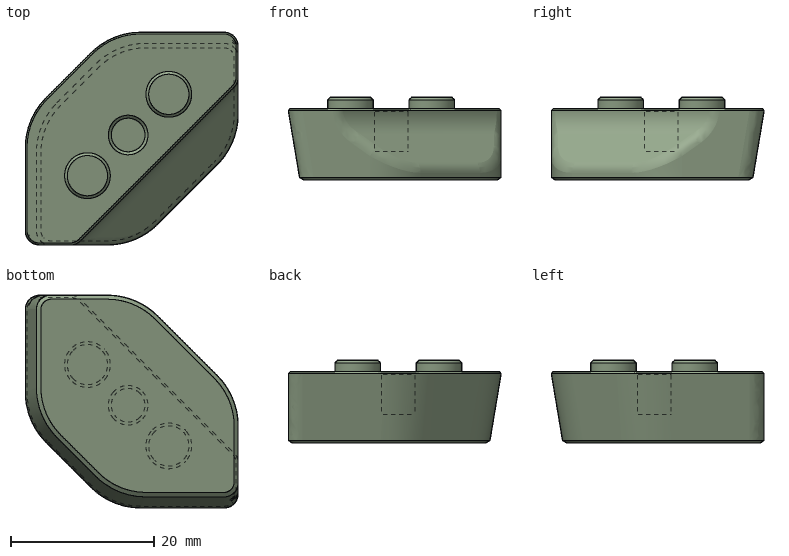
import cadquery as cq
import math

width = 29.78
total_height = 11.6
body_height = 10.0

drafted_diagonal = 17.7
upright_diagonal = 15.6
draft_slope = math.tan(math.radians(9.5))
large_corner_radius = 10.0
small_corner_radius = 2.0
top_chamfer = 0.3
bottom_chamfer_height = 0.4
bottom_chamfer_width = 0.57

recess_wall = 7.12
recess_arc_radius = 4.62
ramp_start_height = 6.45
rim_radius = 2.0
diagonal_factor = math.sqrt(0.5)
arc_center_height = ramp_start_height + recess_arc_radius * diagonal_factor
arc_width = recess_arc_radius * (1 - diagonal_factor)
ramp_width = (upright_diagonal - recess_wall) * diagonal_factor - arc_width
rim_height = ramp_start_height - ramp_width

center_x = 14.38
center_y = 15.4
stud_offset = 5.7
stud_diameter = 6.4
stud_chamfer = 0.4
hole_diameter = 4.7
hole_chamfer = 0.42
hole_depth = 6.0


def outline_points(inset):
    """Hexagon whose left, back and back-left sides are moved inward by inset."""
    slide = inset * math.tan(math.radians(22.5))
    return [
        (inset, 0),
        (upright_diagonal, 0),
        (width, width - upright_diagonal),
        (width, width - inset),
        (width - drafted_diagonal + slide, width - inset),
        (inset, drafted_diagonal - slide),
    ]


def make_drafted_block():
    """Block widest at the lower edge of the top chamfer, with rounded corners."""
    widest_height = body_height - top_chamfer
    bottom = outline_points(widest_height * draft_slope)
    top = outline_points(-top_chamfer * draft_slope)
    block = (
        cq.Workplane("XY")
        .polyline(bottom).close()
        .workplane(offset=body_height)
        .polyline(top).close()
        .loft(ruled=True, combine=True)
    )
    sharp_corners = [0, 3]
    middle = outline_points((widest_height - body_height / 2) * draft_slope)
    for index, (x, y) in enumerate(middle):
        radius = small_corner_radius if index in sharp_corners else large_corner_radius
        corner = cq.selectors.NearestToPointSelector((x, y, body_height / 2))
        block = block.edges(corner).fillet(radius)
    return block


def make_recess_cutter():
    """Prism along the diagonal; its profile runs outward from the arc's vertical tangent."""
    mid_angle = math.radians(22.5)
    arc_middle = (
        recess_arc_radius * (1 - math.cos(mid_angle)),
        arc_center_height - recess_arc_radius * math.sin(mid_angle),
    )
    profile_plane = cq.Plane(
        origin=(recess_wall, 0, 0), xDir=(1, -1, 0), normal=(-1, -1, 0)
    )
    return (
        cq.Workplane(profile_plane)
        .moveTo(0, total_height)
        .lineTo(0, arc_center_height)
        .threePointArc(arc_middle, (arc_width, ramp_start_height))
        .lineTo(arc_width + ramp_start_height, 0)
        .lineTo(arc_width + ramp_start_height, total_height)
        .close()
        .extrude(2 * width, both=True)
    )


def round_recess_rim(body):
    """Round the whole smooth rim, which runs on from its straight middle stretch."""
    rim_x = (width + upright_diagonal) / 2
    middle = cq.selectors.NearestToPointSelector((rim_x, width - rim_x, rim_height))
    return body.edges(middle).fillet(rim_radius)


def chamfer_body(body):
    """Bevel the top outline, including the recess edge, and the bottom outline."""
    body = body.faces(">Z").edges().chamfer(top_chamfer)
    return body.faces("<Z").edges().chamfer(bottom_chamfer_width, bottom_chamfer_height)


def make_studs():
    """Two studs with bevelled top edges."""
    return (
        cq.Workplane("XY", origin=(center_x, center_y, body_height))
        .pushPoints([(-stud_offset, -stud_offset), (stud_offset, stud_offset)])
        .circle(stud_diameter / 2)
        .extrude(total_height - body_height)
        .faces(">Z").edges().chamfer(stud_chamfer)
    )


def make_hole():
    """Blind flat-bottomed hole with a countersunk mouth at the top."""
    bore = (
        cq.Workplane("XY", origin=(0, 0, body_height - hole_depth))
        .circle(hole_diameter / 2)
        .extrude(hole_depth)
    )
    mouth = cq.Solid.makeCone(
        hole_diameter / 2,
        hole_diameter / 2 + hole_chamfer,
        hole_chamfer,
        pnt=cq.Vector(0, 0, body_height - hole_chamfer),
    )
    return bore.union(cq.Workplane(mouth)).translate((center_x, center_y, 0))


body = make_drafted_block().cut(make_recess_cutter())
body = round_recess_rim(body)
body = chamfer_body(body)
result = body.cut(make_hole()).union(make_studs())